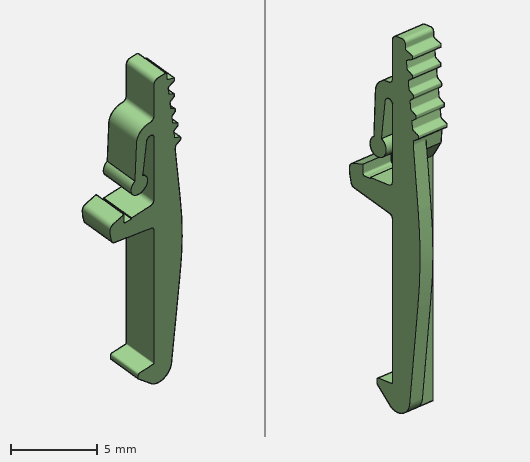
import cadquery as cq

WIDTH = 2.35
LENGTH = 24.1
BAR_THICKNESS = 1.01
BOW_START_X = 1.3

TOE_RADIUS = 0.96
TOE_CENTER_Y = 0.45
FOOT_TOP_Z = 1.7
FOOT_TIP_Y = -1.25
FOOT_TIP_LOW_Z = 1.3
TOE_TANGENT = (-0.22, 0.277)

TOP_BACK_Y = 1.05
ROOT_START_Z = 23.52
ROOT_LEAN = 0.12
TOOTH_TOP_Z = 23.15
TOOTH_PITCH = 1.24
TOOTH_TIPS_Y = [1.66, 1.65, 1.7, 1.93, 2.15]
TOOTH_HALF_HEIGHT = 0.34
TIP_HALF_HEIGHT = 0.108
TIP_RADIUS = 0.085
ROOT_RADIUS = 0.12
RAMP_TOP = (1.66, 16.95)
RAMP_BOTTOM_Z = 15.9

ARM_TOP_Z = 20.97
ARM_BEND_START = (-0.35, ARM_TOP_Z)
ARM_BEND_MIDDLE = (-1.08, 20.7)
ARM_BEND_END = (-1.385, 19.98)
ARM_OUTER_END = (-1.52, 16.87)
ARM_INNER_END = (-0.92, 16.87)
SLOT_OUTER = (-0.58, 19.7)
SLOT_CROWN = (-0.27, 19.9)
SLOT_INNER_Z = 19.7
BEAD_CENTER = (-1.15, 16.53)
BEAD_RADIUS = 0.663

HOOK_SHELF_Z = 14.36
HOOK_NOTCH_Z = 14.3
HOOK_NOTCH_START_Y = -1.78
HOOK_LIP_Y = -2.39
HOOK_LIP_TOP_Z = 15.01
HOOK_UPPER_CORNER = (-3.5, 14.73)
HOOK_NOSE = (-3.5, 14.05)
HOOK_LOWER_CORNER = (-3.3, 13.3)
HOOK_ROOT_Z = 12.5

BOW_FOOT = (1.415, 0.85)
BOW_LOWER = (2.07, 7.23)
BOW_CROWN = (2.27, 10.36)
BOW_UPPER = (2.109, 13.5)
BOW_TOP = (1.7, 17.6)

TOP_FRONT_RADIUS = 0.35
TOP_BACK_RADIUS = 0.27
SMALL_RADIUS = 0.15
FOOT_ROOT_RADIUS = 0.07
ARM_ROOT_RADIUS = 0.3
HOOK_ROOT_RADIUS = 0.3
HOOK_UPPER_RADIUS = 0.35
HOOK_NOSE_RADIUS = 2.4
HOOK_LOWER_RADIUS = 0.3

TOE_BOTTOM = (TOE_CENTER_Y, 0)


def toe_back_point(y):
    """Point on the back half of the toe circle at the given Y."""
    return y, TOE_RADIUS - (TOE_RADIUS**2 - (y - TOE_CENTER_Y) ** 2) ** 0.5


def root_point(z):
    return TOP_BACK_Y + ROOT_LEAN * (ROOT_START_Z - z), z


def tooth_points(index):
    """Upper root, two tip corners and lower root of one tooth."""
    z = TOOTH_TOP_Z - index * TOOTH_PITCH
    tip_y = TOOTH_TIPS_Y[index]
    return [
        root_point(z + TOOTH_HALF_HEIGHT),
        (tip_y, z + TIP_HALF_HEIGHT),
        (tip_y, z - TIP_HALF_HEIGHT),
        root_point(z - TOOTH_HALF_HEIGHT),
    ]


def round_corners(body, corners, radius):
    """Round the edges along X that pass through the given (Y, Z) corners."""
    edges = cq.Workplane("YZ")
    for y, z in corners:
        nearest = cq.selectors.NearestToPointSelector((WIDTH / 2, y, z))
        edges = edges.add(body.edges("|X").edges(nearest))
    return body.newObject([body.val().fillet(radius, edges.vals())])


teeth = [tooth_points(index) for index in range(len(TOOTH_TIPS_Y))]

profile = (
    cq.Workplane("YZ")
    .moveTo(*toe_back_point(BAR_THICKNESS))
    .threePointArc(TOE_BOTTOM, TOE_TANGENT)
    .lineTo(FOOT_TIP_Y, FOOT_TIP_LOW_Z)
    .lineTo(FOOT_TIP_Y, FOOT_TOP_Z)
    .lineTo(0, FOOT_TOP_Z)
    .lineTo(0, HOOK_ROOT_Z)
    .lineTo(*HOOK_LOWER_CORNER)
    .lineTo(*HOOK_NOSE)
    .lineTo(*HOOK_UPPER_CORNER)
    .lineTo(HOOK_LIP_Y, HOOK_LIP_TOP_Z)
    .lineTo(HOOK_LIP_Y, HOOK_NOTCH_Z)
    .lineTo(HOOK_NOTCH_START_Y, HOOK_NOTCH_Z)
    .lineTo(HOOK_NOTCH_START_Y, HOOK_SHELF_Z)
    .lineTo(0, HOOK_SHELF_Z)
    .lineTo(0, SLOT_INNER_Z)
    .threePointArc(SLOT_CROWN, SLOT_OUTER)
    .lineTo(*ARM_INNER_END)
    .lineTo(*ARM_OUTER_END)
    .lineTo(*ARM_BEND_END)
    .threePointArc(ARM_BEND_MIDDLE, ARM_BEND_START)
    .lineTo(0, ARM_TOP_Z)
    .lineTo(0, LENGTH)
    .lineTo(TOP_BACK_Y, LENGTH)
)
for tooth in teeth:
    for point in tooth:
        profile = profile.lineTo(*point)
profile = profile.lineTo(*RAMP_TOP).lineTo(BAR_THICKNESS, RAMP_BOTTOM_Z).close()
body = profile.extrude(WIDTH)

body = round_corners(body, [(0, LENGTH)], TOP_FRONT_RADIUS)
body = round_corners(body, [(TOP_BACK_Y, LENGTH)], TOP_BACK_RADIUS)
for tooth in teeth:
    upper_root, upper_tip, lower_tip, lower_root = tooth
    body = round_corners(body, [upper_tip, lower_tip], TIP_RADIUS)
    body = round_corners(body, [upper_root, lower_root], ROOT_RADIUS)
small_corners = [
    (FOOT_TIP_Y, FOOT_TOP_Z),
    (FOOT_TIP_Y, FOOT_TIP_LOW_Z),
    (HOOK_LIP_Y, HOOK_NOTCH_Z),
]
body = round_corners(body, small_corners, SMALL_RADIUS)
body = round_corners(body, [(0, HOOK_SHELF_Z), (0, HOOK_ROOT_Z)], HOOK_ROOT_RADIUS)
body = round_corners(body, [HOOK_UPPER_CORNER], HOOK_UPPER_RADIUS)
body = round_corners(body, [HOOK_NOSE], HOOK_NOSE_RADIUS)
body = round_corners(body, [HOOK_LOWER_CORNER], HOOK_LOWER_RADIUS)
body = round_corners(body, [(0, FOOT_TOP_Z)], FOOT_ROOT_RADIUS)
body = round_corners(body, [(0, ARM_TOP_Z)], ARM_ROOT_RADIUS)

bead = cq.Workplane("YZ").center(*BEAD_CENTER).circle(BEAD_RADIUS).extrude(WIDTH)

toe_middle_y = (BAR_THICKNESS + BOW_FOOT[0]) / 2
bow = (
    cq.Workplane("YZ", origin=(BOW_START_X, 0, 0))
    .moveTo(*toe_back_point(BAR_THICKNESS))
    .threePointArc(toe_back_point(toe_middle_y), BOW_FOOT)
    .lineTo(*BOW_LOWER)
    .threePointArc(BOW_CROWN, BOW_UPPER)
    .lineTo(*BOW_TOP)
    .lineTo(BAR_THICKNESS, BOW_TOP[1])
    .close()
    .extrude(WIDTH - BOW_START_X)
)

result = body.union(bead).union(bow)